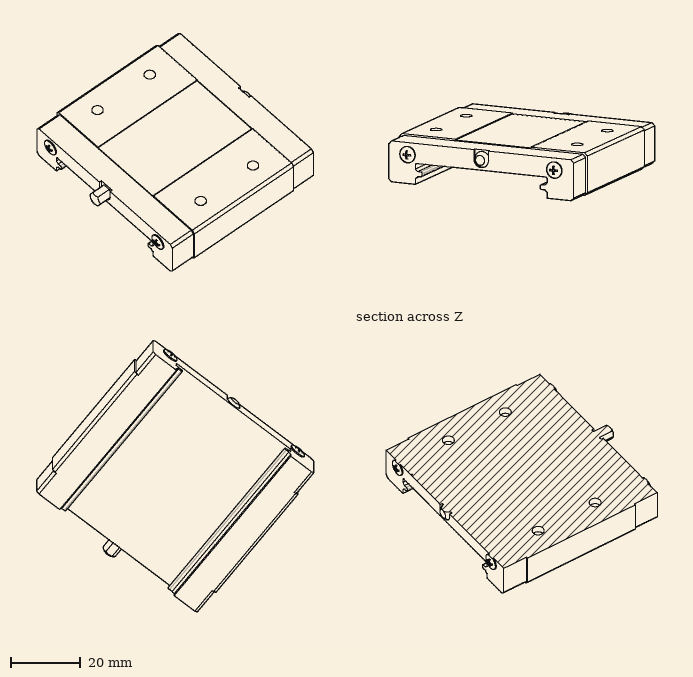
import math

import cadquery as cq

body_width = 60.0
body_length = 38.0
body_height = 12.6
cap_width = 59.0
cap_height = 12.1
overall_length = 54.0
edge_chamfer = 0.9

relief_width = 24.0
relief_depth = 0.25

channel_width = 42.0
channel_height = 6.2
channel_corner_radius = 0.45
lip_reach = 2.2
lip_root = 0.75
lip_bottom = 2.4
lip_top = 3.85
lip_slope_rise = 0.7
lip_tip_radius = 0.5

hole_diameter = 3.3
hole_depth = 4.0
hole_spacing_x = 45.0
hole_spacing_y = 20.0
drill_point_angle = 118.0

screw_x = 23.4
screw_z = 8.6
screw_radius = 2.4
screw_rim = 0.35
screw_height = 0.98
recess_length = 2.4
recess_width = 0.45
recess_depth = 0.5

port_z = 9.3
port_depth = 0.75
nipple_flats = 4.0
nipple_reach = 4.5
nipple_tip_drop = 0.95
plug_reach = 0.75
plug_flat_radius = 1.45
port_radius = nipple_flats / math.sqrt(3)

end_y = overall_length / 2


def dome_sphere_radius(base_radius, height):
    """Radius of the sphere whose cap has the given base radius and height."""
    return (base_radius ** 2 + height ** 2) / (2 * height)


def end_plane(side, x, z, y):
    """Plane at distance y towards the -Y or +Y end, with its normal pointing out of that end."""
    return cq.Plane(origin=(x, side * y, z), xDir=(1, 0, 0), normal=(0, side, 0))


def chamfered_bar(width, length, height):
    """Bar along Y with its four long edges chamfered."""
    bar = cq.Workplane("XY").box(width, length, height, centered=(True, True, False))
    return bar.edges("|Y").chamfer(edge_chamfer)


def top_relief():
    return (
        cq.Workplane("XY", origin=(0, 0, body_height - relief_depth))
        .box(relief_width, body_length, relief_depth, centered=(True, True, False))
    )


def rail_lip(side):
    """Lip along one channel wall, on the -X (side = -1) or +X (side = 1) half."""
    wall = side * channel_width / 2
    root = wall - side * lip_root
    tip = wall - side * lip_reach
    lip = (
        cq.Workplane("XZ", origin=(0, end_y, 0))
        .moveTo(wall, lip_bottom - lip_slope_rise)
        .lineTo(root, lip_bottom)
        .lineTo(tip, lip_bottom)
        .lineTo(tip, lip_top)
        .lineTo(root, lip_top)
        .lineTo(wall, lip_top + lip_slope_rise)
        .close()
        .extrude(overall_length)
    )
    tip_edges = lip.faces(">X" if side < 0 else "<X").edges("|Y")
    return tip_edges.fillet(lip_tip_radius)


def rail_channel():
    channel = (
        cq.Workplane("XY")
        .box(channel_width, overall_length, channel_height, centered=(True, True, False))
        .edges("|Y and >Z")
        .fillet(channel_corner_radius)
    )
    for side in (-1, 1):
        channel = channel.cut(rail_lip(side))
    return channel


def mounting_holes():
    """Blind drilled holes with conical bottoms."""
    radius = hole_diameter / 2
    point_depth = radius / math.tan(math.radians(drill_point_angle / 2))
    drill = (
        cq.Workplane("XZ")
        .lineTo(radius, 0)
        .lineTo(radius, -hole_depth)
        .lineTo(0, -hole_depth - point_depth)
        .close()
        .revolve(360, (0, 0), (0, 1))
        .val()
    )
    return (
        cq.Workplane("XY", origin=(0, 0, body_height))
        .rarray(hole_spacing_x, hole_spacing_y, 2, 2)
        .eachpoint(lambda place: drill.moved(place))
    )


def port_pocket(side):
    """Pocket with a round bottom, open at the top of the end cap."""
    plane = end_plane(side, 0, port_z, end_y - port_depth)
    up = (cap_height - port_z) * plane.yDir.z
    round_bottom = cq.Workplane(plane).circle(port_radius).extrude(port_depth)
    open_top = cq.Workplane(plane).center(0, up / 2).rect(2 * port_radius, abs(up)).extrude(port_depth)
    return round_bottom.union(open_top)


def grease_nipple(side):
    """Hexagonal stub with a domed tip."""
    floor = end_plane(side, 0, port_z, end_y - port_depth)
    shank_length = port_depth + nipple_reach - nipple_tip_drop
    sphere_radius = dome_sphere_radius(port_radius, nipple_tip_drop)
    hexagon = cq.Workplane(floor).polygon(6, 2 * port_radius).extrude(port_depth + nipple_reach)
    round_tip = (
        cq.Workplane("XY", origin=(0, side * (end_y + nipple_reach - sphere_radius), port_z))
        .sphere(sphere_radius)
    )
    envelope = cq.Workplane(floor).circle(port_radius).extrude(shank_length).union(round_tip)
    return hexagon.intersect(envelope)


def plug_head(side):
    """Spherical head seated on the pocket floor, cut flat at its top."""
    height = port_depth + plug_reach
    floor_y = end_y - port_depth
    center_height = (height ** 2 + plug_flat_radius ** 2 - port_radius ** 2) / (2 * height)
    sphere_radius = math.hypot(port_radius, center_height)
    disc = cq.Workplane(end_plane(side, 0, port_z, floor_y)).circle(port_radius).extrude(height)
    ball = (
        cq.Workplane("XY", origin=(0, side * (floor_y + center_height), port_z))
        .sphere(sphere_radius)
    )
    return disc.intersect(ball)


def screw_head(side, x):
    """Disc with a cylindrical rim, a spherical crown and a cross recess."""
    sphere_radius = dome_sphere_radius(screw_radius, screw_height - screw_rim)
    disc = cq.Workplane(end_plane(side, x, screw_z, end_y)).circle(screw_radius).extrude(screw_height)
    crown = (
        cq.Workplane("XY", origin=(x, side * (end_y + screw_height - sphere_radius), screw_z))
        .sphere(sphere_radius)
    )
    head = disc.intersect(crown)
    floor = end_plane(side, x, screw_z, end_y + screw_height - recess_depth)
    for length, width in ((recess_length, recess_width), (recess_width, recess_length)):
        head = head.cut(cq.Workplane(floor).rect(length, width).extrude(recess_depth))
    return head


carriage = chamfered_bar(body_width, body_length, body_height).cut(top_relief())
carriage = carriage.union(chamfered_bar(cap_width, overall_length, cap_height))
carriage = carriage.cut(rail_channel()).cut(mounting_holes())

for end_side in (-1, 1):
    carriage = carriage.cut(port_pocket(end_side))
    for screw_position in (-screw_x, screw_x):
        carriage = carriage.union(screw_head(end_side, screw_position))

result = carriage.union(grease_nipple(-1)).union(plug_head(1))